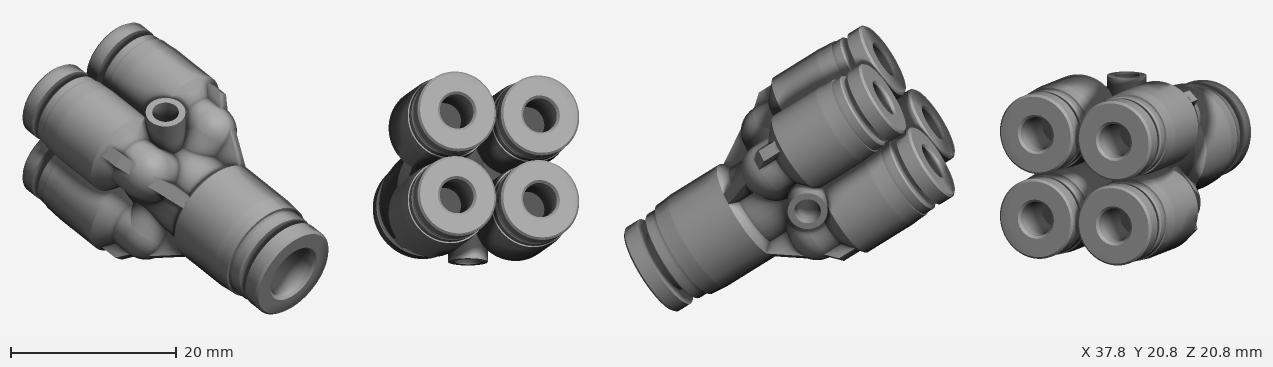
import cadquery as cq
import math


length = 37.8
small_head_end = 2.0
small_ring_start = 2.87
small_taper_start = 4.25
small_barrel_start = 6.27
small_barrel_end = 12.9
neck_start = 14.7
ball_center_x = 17.0
large_barrel_start = 23.62
large_barrel_end = 30.8
large_taper_end = 32.85
large_ring_end = 34.62
large_head_start = 35.75

outer_width = 20.8
seam_overlap = 0.023
branch_offset = (outer_width - seam_overlap) / 4
branch_distance = branch_offset * math.sqrt(2)
small_barrel_radius = outer_width / 2 - branch_offset
arm_angles = [45, 135, 225, 315]

small_taper_radius = 5.05
small_ring_radius = 9.8 / 2
small_neck_radius = 5.2 / 2
small_bore_radius = 4.2 / 2
small_mouth_radius = 4.8 / 2
branch_radius = 3.3

large_barrel_radius = 13.0 / 2
large_taper_radius = 6.3
large_ring_radius = 11.9 / 2
large_neck_radius = 7.9 / 2
collet_wall = small_neck_radius - small_bore_radius
large_bore_radius = large_neck_radius - collet_wall

shoulder = 1.02
trunk_radius = 5.45
post_x = 14.8
post_radius = 4.8 / 2
post_hole_radius = 3.2 / 2
rib_thickness = 1.5
rib_height = 12.0
rib_bend_x = 15.72
rib_slope_drop = 1.9
web_start_x = 18.75
web_start_height = 9.85

edge_chamfer = 0.25
ring_chamfer = 0.2
mouth_chamfer = small_mouth_radius - small_bore_radius


def revolve_about_x(profile):
    """Revolve a closed (x, radius) profile about the X axis."""
    return profile.close().revolve(360, (0, 0, 0), (1, 0, 0))


def rod(start, end, radius):
    """Cylinder on the X axis."""
    return cq.Workplane("YZ", origin=(start, 0, 0)).circle(radius).extrude(end - start)


def at_branch_axes(shape):
    """Copies of a shape on the X axis, moved onto the four branch axes."""
    return [
        shape.translate((0, side_y * branch_offset, side_z * branch_offset))
        for side_y in (-1, 1)
        for side_z in (-1, 1)
    ]


def make_branch():
    """Solid small port: ring, taper, barrel, cone, neck and ball end."""
    ball_middle = branch_radius * math.sqrt(0.5)
    return revolve_about_x(
        cq.Workplane("XY")
        .moveTo(small_ring_start, 0)
        .lineTo(small_ring_start, small_ring_radius - ring_chamfer)
        .lineTo(small_ring_start + ring_chamfer, small_ring_radius)
        .lineTo(small_taper_start, small_ring_radius)
        .lineTo(small_taper_start, small_taper_radius)
        .lineTo(small_barrel_start, small_barrel_radius)
        .lineTo(small_barrel_end, small_barrel_radius)
        .lineTo(neck_start, branch_radius)
        .lineTo(ball_center_x, branch_radius)
        .threePointArc((ball_center_x + ball_middle, ball_middle), (ball_center_x + branch_radius, 0))
    )


def make_elbow():
    """Round arm that joins a ball end to the trunk, built along +Z."""
    return cq.Workplane("XY", origin=(ball_center_x, 0, 0)).circle(branch_radius).extrude(branch_distance)


def make_plate(outline):
    """Flat rib of an (x, radius) outline, centered on the XZ plane."""
    return cq.Workplane("XZ").polyline(outline).close().extrude(rib_thickness / 2, both=True)


def make_outer_rib():
    """Short rib on the cone and neck of a branch, sloping at 45 degrees into the ball end."""
    slope_end_x = rib_bend_x + rib_slope_drop
    return make_plate(
        [
            (small_barrel_end, branch_distance),
            (small_barrel_end, rib_height),
            (rib_bend_x, rib_height),
            (slope_end_x, rib_height - rib_slope_drop),
            (slope_end_x, branch_distance),
        ]
    )


def make_web():
    """Sloping web from a ball end down to the front edge of the large barrel."""
    return make_plate(
        [
            (ball_center_x, 0),
            (ball_center_x, branch_distance),
            (web_start_x, web_start_height),
            (large_barrel_start, math.sqrt(large_barrel_radius**2 - (rib_thickness / 2) ** 2)),
            (large_barrel_start, 0),
        ]
    )


def make_large_port():
    """Solid trunk with shoulder, large barrel, taper and ring."""
    return revolve_about_x(
        cq.Workplane("XY")
        .moveTo(small_barrel_end, 0)
        .lineTo(small_barrel_end, trunk_radius)
        .lineTo(large_barrel_start - shoulder, trunk_radius)
        .lineTo(large_barrel_start, large_barrel_radius)
        .lineTo(large_barrel_end, large_barrel_radius)
        .lineTo(large_taper_end, large_taper_radius)
        .lineTo(large_taper_end, large_ring_radius)
        .lineTo(large_ring_end - ring_chamfer, large_ring_radius)
        .lineTo(large_ring_end, large_ring_radius - ring_chamfer)
        .lineTo(large_ring_end, 0)
    )


def make_housing():
    """Body with all ports, the mounting post and the sockets for the collets."""
    body = make_large_port()
    for branch in at_branch_axes(make_branch()):
        body = body.union(branch)
    for angle in arm_angles:
        for arm in (make_elbow(), make_outer_rib(), make_web()):
            body = body.union(arm.rotate((0, 0, 0), (1, 0, 0), angle))

    post_plane = cq.Workplane("XY", origin=(post_x, 0, -outer_width / 2))
    body = body.union(post_plane.circle(post_radius).extrude(outer_width))
    body = body.cut(post_plane.circle(post_hole_radius).extrude(outer_width))

    for socket in at_branch_axes(rod(small_ring_start, small_barrel_start, small_neck_radius)):
        body = body.cut(socket)
    return body.cut(rod(large_barrel_end, large_ring_end, large_neck_radius))


def make_collet(head_length, total_length, head_radius, neck_radius, bore_radius):
    """Release collet with its head face at X = 0 and its tube reaching toward +X."""
    return revolve_about_x(
        cq.Workplane("XY")
        .moveTo(0, bore_radius + mouth_chamfer)
        .lineTo(0, head_radius - edge_chamfer)
        .lineTo(edge_chamfer, head_radius)
        .lineTo(head_length, head_radius)
        .lineTo(head_length, neck_radius)
        .lineTo(total_length, neck_radius)
        .lineTo(total_length, bore_radius)
        .lineTo(mouth_chamfer, bore_radius)
    )


housing = make_housing()

small_collet = make_collet(
    small_head_end, small_barrel_start, small_ring_radius, small_neck_radius, small_bore_radius
)
small_collets = at_branch_axes(small_collet)

large_collet = (
    make_collet(
        length - large_head_start,
        length - large_barrel_end,
        large_ring_radius,
        large_neck_radius,
        large_bore_radius,
    )
    .rotate((0, 0, 0), (0, 0, 1), 180)
    .translate((length, 0, 0))
)

result = cq.Compound.makeCompound(
    [housing.val(), *[collet.val() for collet in small_collets], large_collet.val()]
)